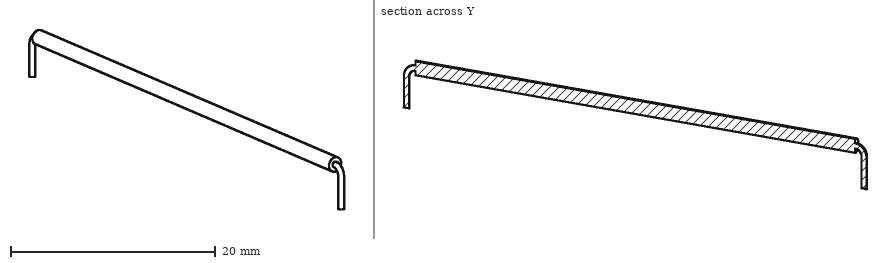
import cadquery as cq

wire_diameter = 0.6
sleeve_diameter = 1.5
lead_pitch = 50.8
bend_radius = 1.0
leg_depth = 4.3

half_pitch = lead_pitch / 2
straight_half = half_pitch - bend_radius
sleeve_length = 2 * straight_half


def make_wire():
    """Round wire swept up one leg, across and down the other, with rounded corners."""
    path = (
        cq.Workplane("XZ")
        .moveTo(-half_pitch, -leg_depth)
        .lineTo(-half_pitch, -bend_radius)
        .radiusArc((-straight_half, 0), bend_radius)
        .lineTo(straight_half, 0)
        .radiusArc((half_pitch, -bend_radius), bend_radius)
        .lineTo(half_pitch, -leg_depth)
    )
    leg_tip = cq.Workplane("XY", origin=(-half_pitch, 0, -leg_depth))
    return leg_tip.circle(wire_diameter / 2).sweep(path)


def make_sleeve():
    """Insulating cylinder centred along X, around the straight run of the wire."""
    sleeve_end = cq.Workplane("YZ", origin=(-sleeve_length / 2, 0, 0))
    return sleeve_end.circle(sleeve_diameter / 2).extrude(sleeve_length)


result = make_sleeve().union(make_wire())